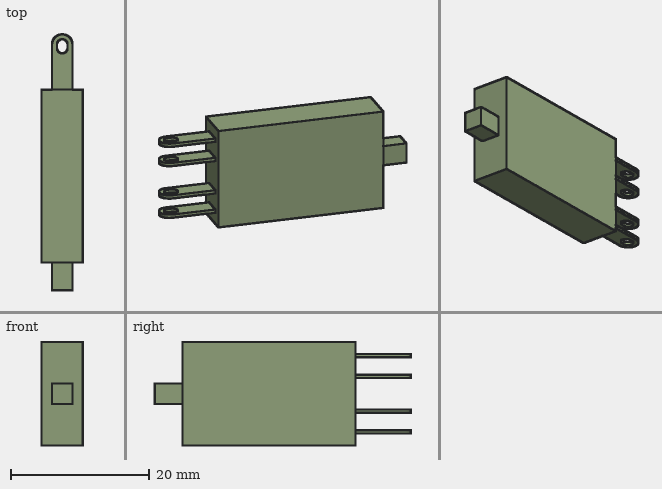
import cadquery as cq

overall_length = 37.0
body_width = 6.0
body_height = 15.0
plunger_length = 4.0
terminal_length = 8.0
body_length = overall_length - plunger_length - terminal_length

plunger_side = body_width / 2
terminal_width = plunger_side
terminal_thickness = 0.5
inner_terminal_height = 2.5
outer_terminal_height = 5.5
eyelet_width = terminal_width / 2
eyelet_length = 2.0

body_back = body_length / 2
terminal_tip = body_back + terminal_length


def make_body():
    return cq.Workplane("XY").box(body_width, body_length, body_height)


def make_plunger():
    center_y = -(body_length + plunger_length) / 2
    return cq.Workplane("XY").box(plunger_side, plunger_length, plunger_side).translate((0, center_y, 0))


def make_terminal(center_z):
    """Flat round-ended solder tab with an eyelet concentric with its tip."""
    half_width = terminal_width / 2
    round_start = terminal_tip - half_width
    eyelet_tip = round_start + eyelet_width / 2
    plane = cq.Workplane("XY", origin=(0, 0, center_z - terminal_thickness / 2))
    tab = (
        plane.moveTo(-half_width, body_back)
        .lineTo(half_width, body_back)
        .lineTo(half_width, round_start)
        .threePointArc((0, terminal_tip), (-half_width, round_start))
        .close()
        .extrude(terminal_thickness)
    )
    eyelet = (
        plane.center(0, eyelet_tip - eyelet_length / 2)
        .slot2D(eyelet_length, eyelet_width, 90)
        .extrude(terminal_thickness)
    )
    return tab.cut(eyelet)


switch = make_body().union(make_plunger())
for height in (inner_terminal_height, outer_terminal_height):
    for side in (-1, 1):
        switch = switch.union(make_terminal(side * height))

result = switch.translate((0, body_length / 2 + plunger_length, 0))